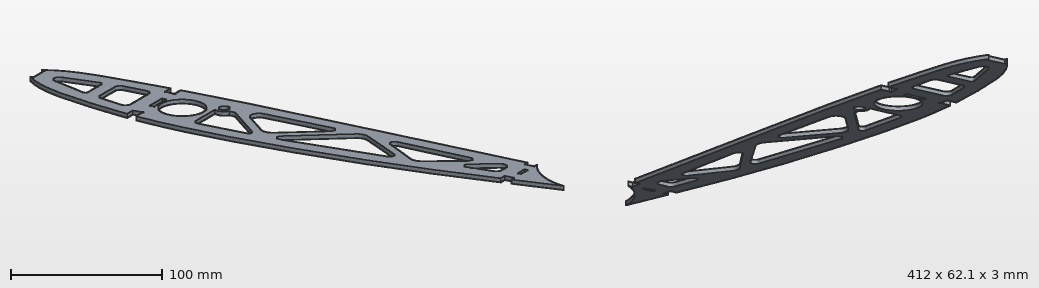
import cadquery as cq
import math

CHORD = 412.0
DEPTH = 62.0
THICKNESS = 3.0

TAIL = (CHORD, 29.5)
NOSE_UPPER = (0, 49.5)
NOSE_LOWER = (0, 34.0)
CREST = (113.3, DEPTH)
BELLY = (156.5, 0)
UPPER_CURVE = [NOSE_UPPER, (14.5, 55.0), (48.0, 59.7), CREST, (211.3, 61.0), (304.5, 58.5)]
TAIL_CROWN = (375.5, 56.5)
TAIL_CURVE_MIDDLE = (389.0, 40.0)
LOWER_FRONT_CURVE = [(99.3, 3.5), (49.0, 12.8), (14.5, 24.5), NOSE_LOWER]
LOWER_CURVE = [(368.0, 21.5), (295.5, 9.5), (210.5, 1.5), BELLY] + LOWER_FRONT_CURVE
NOSE_RECESS = 2.5

NOTCH_WIDTH = 7.5
FRONT_NOTCH_X = 92.0
FRONT_NOTCH_FLOORS = (12.0, 54.0)
RELIEF_RADIUS = 1.0
REAR_NOTCH_X = TAIL_CROWN[0] - NOTCH_WIDTH
REAR_NOTCH_FLOORS = (26.8, 52.7)
FRONT_SLOT = (96.8, 25.5, 3.5, 16.0)
REAR_SLOT = (373.0, 35.5, 2.5, 9.0)

TUBE_CENTER = (117.5, 33.0)
TUBE_RADIUS = 16.0
PIN_CENTER = (141.5, 46.5)
PIN_RADIUS = 3.7
PIN_BOSS_RADIUS = 7.0

TIP_R = 3.5
APEX_R = 8.2
BAY_R = 4.0
NOSE_HOLE = [(2.5, 41.0, BAY_R), (48.0, 24.7, 2.0), (48.0, 47.8, 2.0)]
FRONT_BAY = [(58.5, 22.5, BAY_R), (84.5, 16.5, BAY_R), (84.5, 49.5, BAY_R), (58.5, 49.5, BAY_R)]
PIN_BAY = [(138.0, 12.0, BAY_R), (185.5, 12.0, 2.5), (152.0, 43.0, 2.5), (138.0, 43.0, 1.0)]
TRUSS_HOLES = [
    [(154.0, 50.2, 6.0), (188.5, 18.0, APEX_R), (233.5, 49.5, TIP_R)],
    [(191.5, 11.5, TIP_R), (291.5, 21.0, TIP_R), (246.5, 50.2, APEX_R)],
    [(262.5, 48.0, TIP_R), (302.0, 21.0, APEX_R), (342.0, 45.5, TIP_R)],
    [(325.5, 27.0, 3.0), (360.8, 31.7, BAY_R), (360.8, 50.2, 5.0)],
]


def rib_blank():
    return (
        cq.Workplane("XY")
        .moveTo(*NOSE_UPPER)
        .spline(UPPER_CURVE[1:] + [TAIL_CROWN], includeCurrent=True)
        .threePointArc(TAIL_CURVE_MIDDLE, TAIL)
        .lineTo(*LOWER_CURVE[0])
        .spline(LOWER_CURVE[1:], includeCurrent=True)
        .lineTo(NOSE_RECESS, NOSE_LOWER[1])
        .lineTo(NOSE_RECESS, NOSE_UPPER[1])
        .close()
        .extrude(THICKNESS)
    )


def box_at(left, bottom, width, height):
    return cq.Workplane("XY").box(width, height, THICKNESS, centered=False).translate((left, bottom, 0))


def disc(center, radius):
    return cq.Workplane("XY").center(*center).circle(radius).extrude(THICKNESS)


def notch_pair(left, floors):
    """Facing notches cut in from the lower and upper edges."""
    lower_floor, upper_floor = floors
    lower = box_at(left, 0, NOTCH_WIDTH, lower_floor)
    upper = box_at(left, upper_floor, NOTCH_WIDTH, DEPTH - upper_floor)
    return lower.union(upper)


def step_toward(start, end, distance):
    """Point at a given distance from start on the way to end."""
    fraction = distance / math.dist(start, end)
    return tuple(a + fraction * (b - a) for a, b in zip(start, end))


def rounded_polygon(corners):
    """Prism whose sharp corners (x, y, radius) are replaced by tangent arcs."""
    profile = cq.Workplane("XY")
    for i, (x, y, radius) in enumerate(corners):
        corner = (x, y)
        before = corners[i - 1][:2]
        after = corners[(i + 1) % len(corners)][:2]
        to_before = step_toward(corner, before, 4)
        to_after = step_toward(corner, after, 4)
        half_angle = math.asin(math.dist(to_before, to_after) / 8.2)
        tangent_length = radius / math.tan(half_angle)
        bisector = tuple((a + b) / 2 for a, b in zip(to_before, to_after))
        arc_start = step_toward(corner, before, tangent_length)
        arc_middle = step_toward(corner, bisector, radius / math.sin(half_angle) - radius)
        arc_end = step_toward(corner, after, tangent_length)
        profile = profile.moveTo(*arc_start) if i == 0 else profile.lineTo(*arc_start)
        profile = profile.threePointArc(arc_middle, arc_end)
    return profile.close().extrude(THICKNESS)


result = rib_blank()

result = result.cut(notch_pair(FRONT_NOTCH_X, FRONT_NOTCH_FLOORS))
for floor in FRONT_NOTCH_FLOORS:
    result = result.cut(disc((FRONT_NOTCH_X + NOTCH_WIDTH, floor), RELIEF_RADIUS))
result = result.cut(notch_pair(REAR_NOTCH_X, REAR_NOTCH_FLOORS))

for slot in (FRONT_SLOT, REAR_SLOT):
    result = result.cut(box_at(*slot))
result = result.cut(disc(TUBE_CENTER, TUBE_RADIUS))
result = result.cut(disc(PIN_CENTER, PIN_RADIUS))

for hole in [NOSE_HOLE, FRONT_BAY] + TRUSS_HOLES:
    result = result.cut(rounded_polygon(hole))
result = result.cut(rounded_polygon(PIN_BAY).cut(disc(PIN_CENTER, PIN_BOSS_RADIUS)))